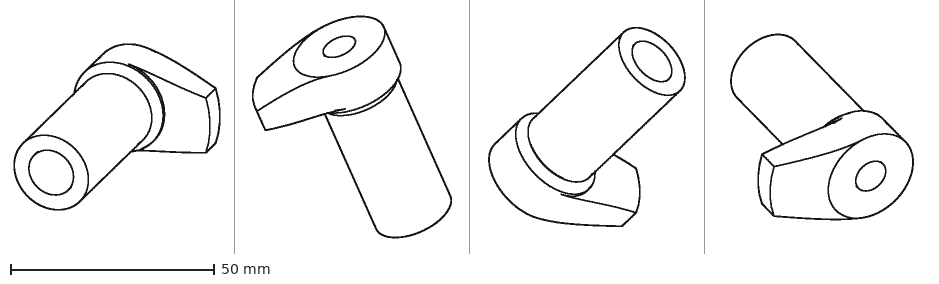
import cadquery as cq
import math

total_length = 52.0
head_radius = 24.0 / 2
head_thickness = 11.3
shaft_radius = 20.0 / 2
groove_width = 2.4
groove_waist_radius = 9.0
bore_radius = 8.5 / 2
wide_bore_radius = 12.0 / 2

arm_reach = 37.0 - head_radius
tip_chord = 15.0
arm_back_drop = 6.1
arm_root_front_y = -10.4
arm_tip_front_y = -12.1

tip_half_angle = math.asin(tip_chord / 2 / arm_reach)
tangent_angle = tip_half_angle + math.acos(head_radius / arm_reach)


def polar_point(radius, angle):
    return (radius * math.cos(angle), radius * math.sin(angle))


def revolve_about_bore(profile):
    return profile.close().revolve(360, (0, 0, 0), (0, 1, 0))


def cylinder(radius, back_y, front_y):
    """Solid cylinder on the bore axis between two Y positions."""
    return cq.Workplane("XZ", origin=(0, back_y, 0)).circle(radius).extrude(back_y - front_y)


def head_and_shaft():
    """Turned body with a rounded relief groove between head and shaft."""
    groove_front_y = -head_thickness - groove_width
    groove_middle_y = -head_thickness - groove_width / 2
    return revolve_about_bore(
        cq.Workplane("XY")
        .lineTo(head_radius, 0)
        .lineTo(head_radius, -head_thickness)
        .lineTo(shaft_radius, -head_thickness)
        .threePointArc((groove_waist_radius, groove_middle_y), (shaft_radius, groove_front_y))
        .lineTo(shaft_radius, -total_length)
        .lineTo(0, -total_length)
    )


def arm():
    """Lever with a conical back face and a front face that flattens out at the tip."""
    front_drop = arm_root_front_y - arm_tip_front_y
    arm_span = arm_reach - head_radius
    front_curve_radius = (arm_span**2 + front_drop**2) / (2 * front_drop)
    middle_y = arm_tip_front_y + front_curve_radius - math.sqrt(front_curve_radius**2 - (arm_span / 2) ** 2)

    turned_arm = revolve_about_bore(
        cq.Workplane("XY")
        .lineTo(head_radius, 0)
        .lineTo(arm_reach, -arm_back_drop)
        .lineTo(arm_reach, arm_tip_front_y)
        .threePointArc((head_radius + arm_span / 2, middle_y), (head_radius, arm_root_front_y))
        .lineTo(0, arm_root_front_y)
    )
    tangent_x, tangent_z = polar_point(head_radius, tangent_angle)
    corner_x, corner_z = polar_point(arm_reach, tip_half_angle)
    planform = (
        cq.Workplane("XZ")
        .moveTo(0, 0)
        .lineTo(tangent_x, tangent_z)
        .lineTo(corner_x, corner_z)
        .threePointArc((arm_reach, 0), (corner_x, -corner_z))
        .lineTo(tangent_x, -tangent_z)
        .close()
        .extrude(total_length)
    )
    return turned_arm.intersect(planform)


through_bore = cylinder(bore_radius, 0, -total_length)
wide_bore = cylinder(wide_bore_radius, -head_thickness, -total_length)

result = head_and_shaft().union(arm()).cut(through_bore).cut(wide_bore)